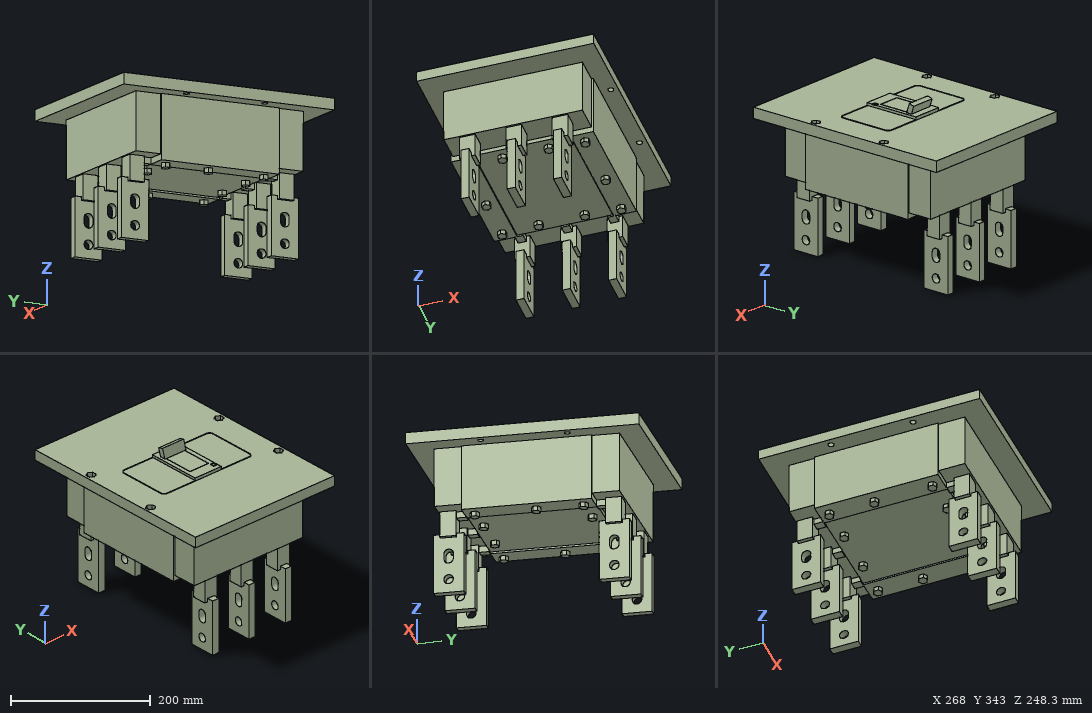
import cadquery as cq
import math


plate_x = 268.0
plate_y = 343.0
plate_thickness = 17.5
screw_spacing_x = 246.0
screw_spacing_y = 127.3
screw_hole_diameter = 8.2
screw_socket_across_flats = 12.7
screw_socket_depth = 7.5

escutcheon_x = 171.0
escutcheon_y = 91.2
escutcheon_center_y = -4.5
escutcheon_corner_radius = 6.5
escutcheon_rise = 1.0
lever_panel_x = 50.5
lever_panel_rise = 5.0
lever_panel_top = plate_thickness + lever_panel_rise

lever_width = 40.8
lever_thickness = 8.5
lever_tilt = math.radians(18)
lever_front_y = 20.0
lever_tip_z = 38.0

lever_recess_x = 35.7
lever_recess_front_y = -31.0
lever_recess_depth = 0.5
button_size_x = 6.0
button_size_y = 7.0
button_center_x = 21.5
button_center_y = -37.7
button_depth = 1.0

case_x = 215.0
case_y = 191.5
case_depth = 97.5
end_block_x = 209.5
end_blocks_span_y = 272.5
end_block_depth = 88.0
channel_x = 145.5
channel_height = 2.7

pole_pitch = 70.0
poles = (-1, 0, 1)
ends = (-1, 1)
terminal_y = 121.8
post_size = 23.5
post_bottom_z = -126.2
blade_thickness = 12.5
blade_width = 44.5
blade_top_z = -120.7
blade_bottom_z = -210.3
blade_hole_diameter = 13.7
blade_hole_z = -190.0
blade_slot_length = 21.3
blade_slot_z = -154.7

bolt_across_flats = 12.0
bolt_height = 7.0
bolt_end_y = 80.0
bolt_middle_y = 10.3
outer_bolt_x = (case_x + channel_x) / 4
inner_bolt_x = pole_pitch / 2


def block(size_x, size_y, bottom, top, center_x=0.0, center_y=0.0):
    """Upright rectangular block between two heights."""
    return (
        cq.Workplane("XY", origin=(center_x, center_y, bottom))
        .rect(size_x, size_y)
        .extrude(top - bottom)
    )


def escutcheon_block(bottom, top):
    """Rounded rectangle shared by the escutcheon and the plate window."""
    outline = block(escutcheon_x, escutcheon_y, bottom, top, center_y=escutcheon_center_y)
    return outline.edges("|Z").fillet(escutcheon_corner_radius)


def hex_prisms(places, across_flats, bottom, top):
    """Upright hexagonal prisms with corners pointing along Y."""
    across_corners = across_flats / math.cos(math.pi / 6)
    return (
        cq.Workplane("XY", origin=(0, 0, bottom))
        .transformed(rotate=(0, 0, 90))
        .pushPoints([(y, -x) for x, y in places])
        .polygon(6, across_corners)
        .extrude(top - bottom)
    )


def make_plate():
    """Mounting plate with a window and four screw holes opening into hexagonal sockets."""
    plate = block(plate_x, plate_y, 0, plate_thickness)
    half_x = screw_spacing_x / 2
    half_y = screw_spacing_y / 2
    screw_places = [(x, y) for x in (-half_x, half_x) for y in (-half_y, half_y)]
    plate = plate.faces(">Z").workplane(origin=(0, 0, 0)).pushPoints(screw_places).hole(screw_hole_diameter)
    socket_floor = plate_thickness - screw_socket_depth
    plate = plate.cut(hex_prisms(screw_places, screw_socket_across_flats, socket_floor, plate_thickness))
    return plate.cut(escutcheon_block(0, plate_thickness))


def make_case():
    """Case with a narrower, shallower block at each end and a channel along its underside."""
    case = block(case_x, case_y, -case_depth, 0)
    case = case.cut(block(channel_x, case_y, -case_depth, -case_depth + channel_height))
    return case.union(block(end_block_x, end_blocks_span_y, -end_block_depth, 0))


def make_escutcheon():
    """Escutcheon with its raised lever panel and the recesses in that panel."""
    panel = block(lever_panel_x, escutcheon_y, 0, lever_panel_top, center_y=escutcheon_center_y)
    escutcheon = escutcheon_block(0, plate_thickness + escutcheon_rise).union(panel)

    lever_recess = block(
        lever_recess_x,
        lever_front_y - lever_recess_front_y,
        lever_panel_top - lever_recess_depth,
        lever_panel_top,
        center_y=(lever_front_y + lever_recess_front_y) / 2,
    )
    button_recess = block(
        button_size_x,
        button_size_y,
        lever_panel_top - button_depth,
        lever_panel_top,
        button_center_x,
        button_center_y,
    )
    return escutcheon.cut(lever_recess).cut(button_recess)


def make_lever():
    """Flat lever with a square tip, leaning back from the panel."""
    slope = math.tan(lever_tilt)
    tip_front_y = lever_front_y + (lever_tip_z - lever_panel_top) * slope
    tip_back_y = tip_front_y + lever_thickness * math.cos(lever_tilt)
    tip_back_z = lever_tip_z - lever_thickness * math.sin(lever_tilt)
    base_back_y = lever_front_y + lever_thickness / math.cos(lever_tilt)
    return (
        cq.Workplane("YZ")
        .moveTo(lever_front_y, lever_panel_top)
        .lineTo(tip_front_y, lever_tip_z)
        .lineTo(tip_back_y, tip_back_z)
        .lineTo(base_back_y, lever_panel_top)
        .close()
        .extrude(lever_width / 2, both=True)
    )


def make_terminal(x, end):
    """Square post with a narrower bar back to the case and a drilled, slotted blade below."""
    y = end * terminal_y
    post = block(post_size, post_size, post_bottom_z, -end_block_depth, x, y)

    bar_length = terminal_y - case_y / 2
    bar_center_y = end * (terminal_y + case_y / 2) / 2
    bar = block(blade_thickness, bar_length, -case_depth, -end_block_depth, x, bar_center_y)

    blade = block(blade_thickness, blade_width, blade_bottom_z, blade_top_z, x, y)
    openings = (
        cq.Workplane("YZ", origin=(x, y, 0))
        .center(0, blade_hole_z)
        .circle(blade_hole_diameter / 2)
        .extrude(blade_thickness, both=True)
    ).union(
        cq.Workplane("YZ", origin=(x, y, 0))
        .center(0, blade_slot_z)
        .slot2D(blade_slot_length, blade_hole_diameter, 90)
        .extrude(blade_thickness, both=True)
    )
    return post.union(bar).union(blade.cut(openings))


def make_bolt_heads(places, seat_z):
    """Hexagonal heads hanging from a seat."""
    return hex_prisms(places, bolt_across_flats, seat_z - bolt_height, seat_z)


def make_breaker():
    """Circuit breaker: case, escutcheon, lever, terminals and bolt heads in one body."""
    breaker = make_case().union(make_escutcheon()).union(make_lever())
    for pole in poles:
        for end in ends:
            breaker = breaker.union(make_terminal(pole * pole_pitch, end))

    outer_rows = (-bolt_end_y, bolt_middle_y, bolt_end_y)
    inner_rows = (-bolt_end_y, bolt_end_y)
    outer_places = [(side * outer_bolt_x, y) for side in (-1, 1) for y in outer_rows]
    inner_places = [(side * inner_bolt_x, y) for side in (-1, 1) for y in inner_rows]
    breaker = breaker.union(make_bolt_heads(outer_places, -case_depth))
    return breaker.union(make_bolt_heads(inner_places, -case_depth + channel_height))


plate = make_plate()
breaker = make_breaker()

result = cq.Compound.makeCompound([plate.val(), breaker.val()])